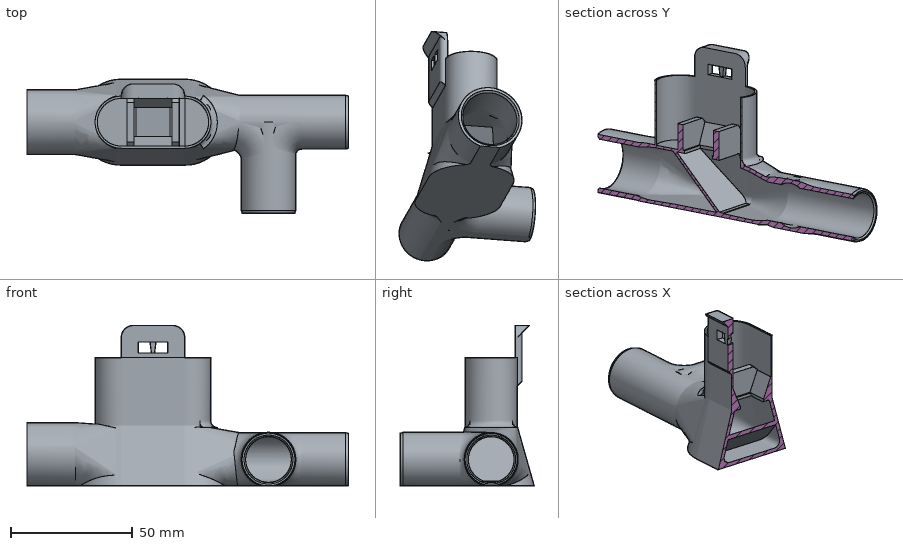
import cadquery as cq
import math

length = 132.4
body_wall = 1.9

inlet_radius = 13.4
inlet_axis_z = 12.7
inlet_length = 20.0
inlet_bore_radius = 11.4
inlet_mouth_chamfer = 0.8

outlet_radius = 11.1
branch_radius = 11.3
outlet_axis_z = 10.9
outlet_start_x = 87.5
outlet_bore_radius = 9.4
branch_bore_radius = 9.4
branch_x = 99.4
branch_end_y = -37.5
mouth_chamfer = 0.7
rim_length = 1.2
rim_height = 0.4
upstream_bend_gap = 4.9
downstream_bend_gap = 2.6

collar_center_x = 51.9
straight = 26.2
collar_radius = 10.7
collar_wall = 0.9
collar_bottom_z = 24.8
collar_top_z = 52.8
body_foot_radius = 17.7
skirt_radius = 2.6

straight_start_x = collar_center_x - straight / 2
straight_end_x = collar_center_x + straight / 2
inner_radius = collar_radius - collar_wall

side_slope = (body_foot_radius - collar_radius) / collar_bottom_z
side_angle = math.degrees(math.atan(side_slope))

foot_corner_radius = 2.6
top_corner_radius = 0.7
runout_angle = 3.0
flare_inset = 0.1
outlet_flare_top_z = 26.0
skirt_drop = 0.7
skirt_sweep = 110.0

floor_top_z = 25.4
floor_thickness = 1.3
rail_width = 2.9
rail_top_z = 36.4
rail_end_chamfer = 1.7
hole_width_y = 11.9
hole_length_x = 14.0
hopper_top_z = 34.4
rail_outer_length = 21.3
rail_start_x = collar_center_x - rail_outer_length / 2
rail_end_x = collar_center_x + rail_outer_length / 2

chamber_top_z = floor_top_z - floor_thickness
partition_height = 2.1
ramp_start_x = straight_start_x
ramp_end_x = straight_end_x - partition_height

tab_top_z = 66.1
tab_bottom_z = 41.0
tab_thickness = 2.9
tab_corner_radius = 5.0
tab_edge_radius = 1.9
lip_depth = 5.0
window_width = 12.0
window_height = 4.4
window_bottom_z = 54.8
post_top_width = 2.5
post_bottom_width = 1.5


def x_cylinder(radius, axis_z, start_x, end_x):
    plane = cq.Workplane("YZ", origin=(start_x, 0, axis_z))
    return plane.circle(radius).extrude(end_x - start_x)


def branch_cylinder(radius, end_y):
    plane = cq.Workplane("XZ", origin=(branch_x, 0, outlet_axis_z))
    return plane.circle(radius).extrude(-end_y)


def stadium(radius, bottom_z, height, taper=0.0):
    plane = cq.Workplane("XY", origin=(collar_center_x, 0, bottom_z))
    return plane.slot2D(straight + 2 * radius, 2 * radius).extrude(height, taper=taper)


def arc(x, center_y, center_z, radius, first, last):
    """Arc in the plane at x, from the first to the last angle in degrees."""
    start, middle, end = [
        cq.Vector(
            x,
            center_y + radius * math.cos(math.radians(angle)),
            center_z + radius * math.sin(math.radians(angle)),
        )
        for angle in (first, (first + last) / 2, last)
    ]
    return cq.Edge.makeThreePointArc(start, middle, end)


def body_section(x, inset, foot_z, top_z):
    """Trapezoid that follows the sloping body sides, with rounded corners."""
    def corner(side, level, radius, first, last):
        side_distance = (inset + radius) / math.cos(math.radians(side_angle))
        reach = body_foot_radius - side_slope * level - side_distance
        return arc(x, side * reach, level, radius, first, last)

    low_z = foot_z + foot_corner_radius
    high_z = top_z - top_corner_radius
    corners = [
        corner(1, low_z, foot_corner_radius, -90, side_angle),
        corner(1, high_z, top_corner_radius, side_angle, 90),
        corner(-1, high_z, top_corner_radius, 90, 180 - side_angle),
        corner(-1, low_z, foot_corner_radius, 180 - side_angle, 270),
    ]
    edges = []
    for current, following in zip(corners, corners[1:] + corners[:1]):
        edges += [current, cq.Edge.makeLine(current.endPoint(), following.startPoint())]
    return cq.Wire.assembleEdges(edges)


def pipe_section(x, radius, axis_z):
    """Circle split so that each arc runs into one corner or one flat of a body section."""
    normals = (-90, side_angle, 90, 180 - side_angle, 270)
    edges = []
    for first, last in zip(normals, normals[1:]):
        edges += [
            arc(x, 0, axis_z, radius, first + runout_angle, last - runout_angle),
            arc(x, 0, axis_z, radius, last - runout_angle, last + runout_angle),
        ]
    return cq.Wire.assembleEdges(edges)


def flare(first_section, second_section):
    return cq.Workplane(cq.Solid.makeLoft([first_section, second_section], True))


def bend(gap, side):
    """Quarter torus that blends the outlet line into the branch on one side."""
    bend_radius = outlet_radius + gap
    center_x = branch_x + side * bend_radius
    tube = cq.Workplane("YZ", origin=(center_x, 0, outlet_axis_z)).circle(outlet_radius)
    return tube.revolve(90, (-bend_radius, 0), (-bend_radius, side))


def outer_pipes():
    inlet = x_cylinder(inlet_radius, inlet_axis_z, 0, inlet_length)
    outlet = x_cylinder(outlet_radius, outlet_axis_z, outlet_start_x, length)
    outlet = outlet.faces(">X").chamfer(rim_length, rim_height)
    branch = branch_cylinder(branch_radius, branch_end_y)
    branch = branch.faces("<Y").chamfer(rim_length, rim_height)
    outlets = outlet.union(branch)
    outlets = outlets.union(bend(upstream_bend_gap, -1))
    outlets = outlets.union(bend(downstream_bend_gap, 1))
    return inlet, outlets


def outer_body():
    body = stadium(body_foot_radius, 0, collar_bottom_z, side_angle)
    collar = stadium(collar_radius, collar_bottom_z, collar_top_z - collar_bottom_z)
    inlet_flare = flare(
        pipe_section(inlet_length, inlet_radius, inlet_axis_z),
        body_section(straight_start_x, flare_inset, 0, collar_bottom_z),
    )
    outlet_flare = flare(
        pipe_section(outlet_start_x, outlet_radius, outlet_axis_z),
        body_section(straight_end_x, flare_inset, 0, outlet_flare_top_z),
    )
    return body.union(inlet_flare).union(outlet_flare).union(collar).union(skirt())


def skirt():
    """Concave part ring that blends the collar into the outlet flare."""
    foot_z = collar_bottom_z - skirt_drop
    rise = skirt_radius * (1 - math.sqrt(0.5))
    profile = (
        cq.Workplane("XZ", origin=(straight_end_x, 0, foot_z))
        .moveTo(inner_radius, 0)
        .lineTo(collar_radius + skirt_radius, 0)
        .threePointArc((collar_radius + rise, rise), (collar_radius, skirt_radius))
        .lineTo(inner_radius, skirt_radius)
        .close()
    )
    ring = profile.revolve(skirt_sweep, (0, 0, 0), (0, 1, 0))
    axis_foot = (straight_end_x, 0, 0)
    axis_head = (straight_end_x, 0, 1)
    return ring.rotate(axis_foot, axis_head, -skirt_sweep / 2)


def tab():
    front_y = inner_radius
    back_y = front_y + tab_thickness
    tip_y = collar_radius + lip_depth
    lip_root_z = tab_top_z - lip_depth
    ramp = back_y - collar_radius

    plate = (
        cq.Workplane("XY", origin=(collar_center_x, front_y + tab_thickness / 2, tab_bottom_z))
        .rect(straight, tab_thickness)
        .extrude(tab_top_z - tab_bottom_z)
        .edges("|Z and >Y")
        .fillet(tab_edge_radius)
    )
    foot_ramp = (
        cq.Workplane("YZ", origin=(straight_start_x, 0, 0))
        .polyline([(collar_radius, tab_bottom_z), (back_y, tab_bottom_z), (back_y, tab_bottom_z + ramp)])
        .close()
        .extrude(straight)
    )
    lip = (
        cq.Workplane("YZ", origin=(straight_start_x, 0, 0))
        .polyline(
            [(front_y, lip_root_z), (collar_radius, lip_root_z), (tip_y, tab_top_z), (front_y, tab_top_z)]
        )
        .close()
        .extrude(straight)
    )
    front_outline = (
        cq.Workplane("XZ", origin=(collar_center_x, tip_y, (tab_bottom_z + tab_top_z) / 2))
        .rect(straight, tab_top_z - tab_bottom_z)
        .extrude(tip_y - front_y)
        .edges("|Y and >Z")
        .fillet(tab_corner_radius)
    )
    window = (
        cq.Workplane("XZ", origin=(collar_center_x, tip_y, window_bottom_z + window_height / 2))
        .rect(window_width, window_height)
        .extrude(tip_y - front_y)
    )
    post = (
        cq.Workplane("XZ", origin=(collar_center_x, back_y, window_bottom_z))
        .polyline(
            [
                (-post_bottom_width / 2, 0),
                (post_bottom_width / 2, 0),
                (post_top_width / 2, window_height),
                (-post_top_width / 2, window_height),
            ]
        )
        .close()
        .extrude(back_y - collar_radius)
    )
    return plate.cut(foot_ramp).union(lip).intersect(front_outline).cut(window).union(post)


def mouth_cone(radius, widening, end, inward):
    """Cone that widens a bore at its open end."""
    cone = cq.Solid.makeCone(
        radius + widening, radius, widening, cq.Vector(*end), cq.Vector(*inward)
    )
    return cq.Workplane(cone)


def above_ramp(lift):
    """Space above the sloping partition, raised by lift."""
    return (
        cq.Workplane("XZ", origin=(0, body_foot_radius, 0))
        .polyline(
            [
                (ramp_start_x, chamber_top_z + lift),
                (ramp_end_x, lift),
                (length, lift),
                (length, collar_top_z),
                (ramp_start_x, collar_top_z),
            ]
        )
        .close()
        .extrude(2 * body_foot_radius)
    )


def straight_chamber():
    """Hollow of the body along its straight part."""
    section = body_section(straight_start_x, body_wall, body_wall, chamber_top_z)
    return cq.Workplane(cq.Solid.extrudeLinear(section, [], cq.Vector(straight, 0, 0)))


def inlet_chamber():
    """Inlet bore and the widening that ends under the sloping partition."""
    bore = x_cylinder(inlet_bore_radius, inlet_axis_z, 0, inlet_length)
    mouth = mouth_cone(inlet_bore_radius, inlet_mouth_chamfer, (0, 0, inlet_axis_z), (1, 0, 0))
    widening = flare(
        pipe_section(inlet_length, inlet_bore_radius, inlet_axis_z),
        body_section(straight_start_x, body_wall, body_wall, chamber_top_z),
    )
    middle = straight_chamber().cut(above_ramp(0))
    return bore.union(mouth).union(widening).union(middle)


def outlet_chamber():
    """Bores of outlet and branch, and the hollow above the partition that opens into the collar."""
    outlet_end = (length, 0, outlet_axis_z)
    branch_end = (branch_x, branch_end_y, outlet_axis_z)
    outlet_bore = x_cylinder(outlet_bore_radius, outlet_axis_z, outlet_start_x, length)
    branch_bore = branch_cylinder(branch_bore_radius, branch_end_y)
    narrowing = flare(
        body_section(straight_end_x, body_wall, body_wall, chamber_top_z),
        pipe_section(outlet_start_x, outlet_bore_radius, outlet_axis_z),
    )
    middle = straight_chamber().intersect(above_ramp(partition_height))
    beyond_rails = cq.Workplane("XY", origin=(rail_end_x + length / 2, 0, 0)).box(length, length, length)
    opening = stadium(inner_radius, outlet_axis_z, floor_top_z - outlet_axis_z).intersect(beyond_rails)
    return (
        outlet_bore.union(branch_bore)
        .union(mouth_cone(outlet_bore_radius, mouth_chamfer, outlet_end, (-1, 0, 0)))
        .union(mouth_cone(branch_bore_radius, mouth_chamfer, branch_end, (0, 1, 0)))
        .union(narrowing)
        .union(middle)
        .union(opening)
    )


def valve_seat():
    """Two cross rails with sloping blocks between them, around the rectangular valve hole."""
    seat_length = rail_end_x - rail_start_x
    half_span = inner_radius
    rail_profile = [
        (-half_span, floor_top_z),
        (half_span, floor_top_z),
        (half_span, rail_top_z - rail_end_chamfer),
        (half_span - rail_end_chamfer, rail_top_z),
        (rail_end_chamfer - half_span, rail_top_z),
        (-half_span, rail_top_z - rail_end_chamfer),
    ]
    rail = cq.Workplane("YZ").polyline(rail_profile).close().extrude(rail_width)
    seat = rail.translate((rail_start_x, 0, 0)).union(rail.translate((rail_end_x - rail_width, 0, 0)))
    for side in (-1, 1):
        slope = (
            cq.Workplane("YZ", origin=(rail_start_x, 0, 0))
            .polyline(
                [
                    (side * half_span, floor_top_z),
                    (side * hole_width_y / 2, floor_top_z),
                    (side * half_span, hopper_top_z),
                ]
            )
            .close()
            .extrude(seat_length)
        )
        seat = seat.union(slope)
    return seat


def valve_hole():
    return (
        cq.Workplane("XY", origin=(collar_center_x, 0, chamber_top_z))
        .rect(hole_length_x, hole_width_y)
        .extrude(floor_thickness)
    )


inlet, outlets = outer_pipes()
shell = outer_body().union(inlet).union(outlets)
below_base = cq.Workplane("XY", origin=(length / 2, 0, -length / 2)).box(2 * length, 2 * length, length)
collar_bore = stadium(inner_radius, floor_top_z, collar_top_z - floor_top_z)

result = (
    shell.cut(below_base)
    .cut(inlet_chamber())
    .cut(outlet_chamber())
    .cut(collar_bore)
    .cut(valve_hole())
    .union(valve_seat())
    .union(tab())
)